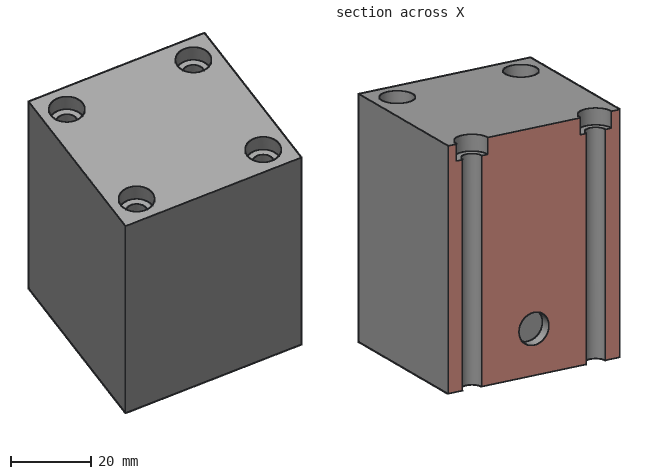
import cadquery as cq

block_width = 50.0
block_height = 66.0

hole_spacing = 36.0
hole_diameter = 5.5
counterbore_diameter = 9.0
counterbore_depth = 4.5

port_diameter = 8.6
port_depth = 10.0
port_height = 12.5

block = cq.Workplane("XY").box(block_width, block_width, block_height, centered=(True, True, False))

drilled_block = (
    block.faces(">Z")
    .workplane()
    .rarray(hole_spacing, hole_spacing, 2, 2)
    .cboreHole(hole_diameter, counterbore_diameter, counterbore_depth)
)

port = (
    cq.Workplane("YZ", origin=(-block_width / 2, 0, port_height))
    .circle(port_diameter / 2)
    .extrude(port_depth)
)

result = drilled_block.cut(port)